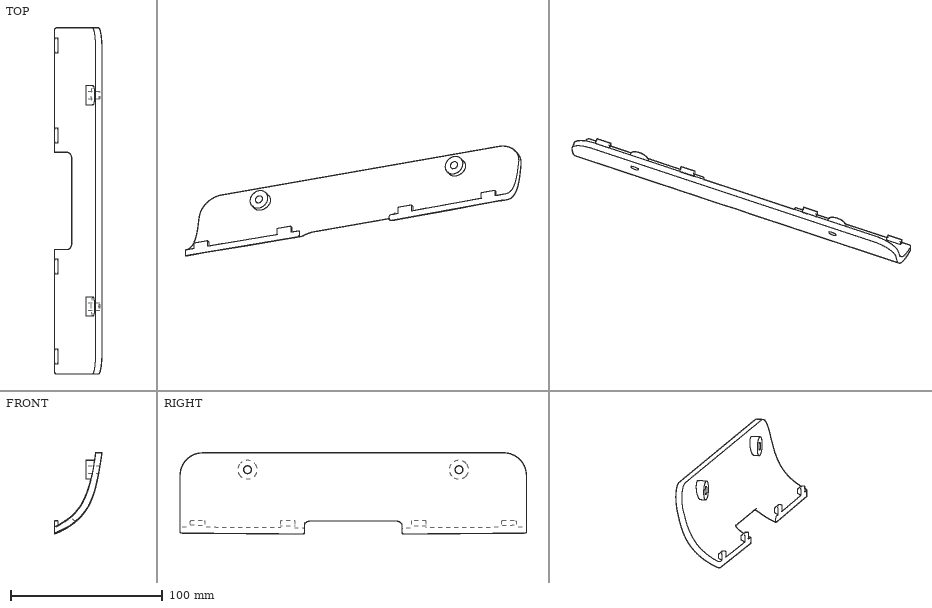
import cadquery as cq

length = 229.5
half_length = length / 2
depth = 31.7
height = 54.0

wall_top_width = 4.4
lip_height = 4.1
outer_curve = [(0, -0.07), (12.0, 6.5), (21.0, 15.5), (27.8, 32.4), (depth, height)]
inner_curve = [(0, lip_height), (7.5, 8.5), (15.0, 15.2), (22.3, 29.0), (depth - wall_top_width, height)]
end_rise = 0.7
top_corner_radius = 15.2
lip_end_radius = 1.8

notch_half_width = 32.1
notch_corner_radius = 4.4
notch_edge_radius = 1.4
notch_roof_inner = (10.3, 11.3)
notch_roof_angle = 37.0
notch_reach = 27.5

tab_thickness = 2.5
tab_top = 9.0
tab_base = 2.3
tab_width = 9.9
tab_centers = (103.0, 43.5)
tab_edge_radius = 0.7

boss_diameter = 12.6
boss_hole_diameter = 5.0
boss_face_x = 21.0
boss_y = 70.0
boss_z = 42.7
boss_root_x = 27.5


def wall_section(y, rise):
    """Closed wire of the wall at y, lifted by rise at the lip and by nothing at the top."""
    def lifted(curve):
        return [cq.Vector(x, y, z + rise * (1 - x / curve[-1][0])) for x, z in curve]

    outer = lifted(outer_curve)
    inner = lifted(inner_curve)
    return cq.Wire.assembleEdges([
        cq.Edge.makeSpline(outer),
        cq.Edge.makeLine(outer[-1], inner[-1]),
        cq.Edge.makeSpline(inner[::-1]),
        cq.Edge.makeLine(inner[0], outer[0]),
    ])


def make_wall():
    """Loft the bowed wall along Y and round its upper corners."""
    sections = [
        wall_section(-half_length, end_rise),
        wall_section(0, 0),
        wall_section(half_length, end_rise),
    ]
    wall = cq.Workplane(cq.Solid.makeLoft(sections))
    outline = (
        cq.Workplane("YZ")
        .rect(length, 2 * height)
        .extrude(depth)
        .edges("|X and >Z")
        .fillet(top_corner_radius)
    )
    outline = outline.edges("|Z and <X").fillet(lip_end_radius)
    return wall.intersect(outline)


def make_notch():
    """Round-cornered cutter whose roof is square to the wall."""
    cutter = (
        cq.Workplane("XY")
        .box(2 * notch_reach, 2 * notch_half_width, notch_reach)
        .edges("|X")
        .fillet(notch_corner_radius)
        .translate((0, 0, -notch_reach / 2))
    )
    roof_x, roof_z = notch_roof_inner
    tilted = cutter.rotate((0, 0, 0), (0, 1, 0), notch_roof_angle)
    return tilted.translate((roof_x, 0, roof_z))


def round_notch_edges(wall):
    """Round the inner and outer edges all around the notch."""
    around_notch = cq.selectors.BoxSelector(
        (0.2, -notch_half_width - 0.2, -2.3), (depth / 2, notch_half_width + 0.2, height / 3)
    )
    return wall.edges(around_notch).edges("not(|X)").fillet(notch_edge_radius)


def make_tab(y):
    """Small upright tab on the lip, rounded along its top."""
    return (
        cq.Workplane("XY")
        .box(tab_thickness, tab_width, tab_top - tab_base, centered=(False, True, False))
        .faces(">Z")
        .edges()
        .fillet(tab_edge_radius)
        .translate((0, y, tab_base))
    )


def boss_cylinder(diameter, end_x, y):
    """Cylinder along X from the boss face to end_x."""
    return (
        cq.Workplane("YZ", origin=(boss_face_x, y, boss_z))
        .circle(diameter / 2)
        .extrude(end_x - boss_face_x)
    )


result = round_notch_edges(make_wall().cut(make_notch()))
for side in (-1, 1):
    for tab_center in tab_centers:
        result = result.union(make_tab(side * tab_center))
    result = result.union(boss_cylinder(boss_diameter, boss_root_x, side * boss_y))
    result = result.cut(boss_cylinder(boss_hole_diameter, depth, side * boss_y))